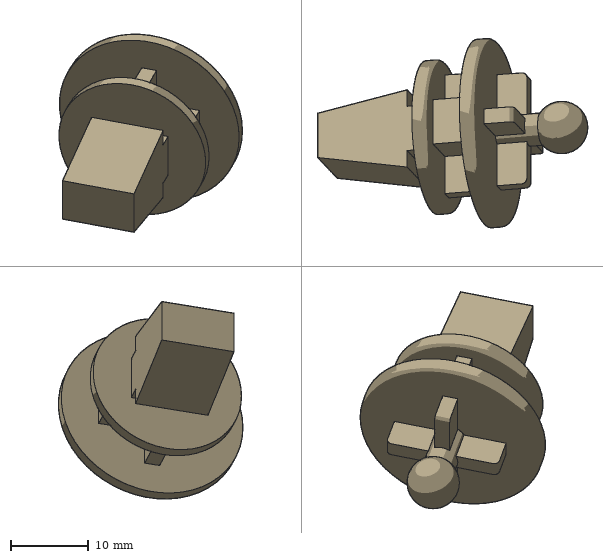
import cadquery as cq

total_length = 34.78
wedge_length = 12.0
wedge_width = 9.75
wedge_tip_height = 5.98
wedge_base_height = 10.45
neck_length = 2.0
disc_thickness = 1.98
small_disc_diameter = 20.0
large_disc_diameter = 24.5
disc_rounding = 0.7
disc_gap = 5.0
bar_left = 7.2
bar_right = 6.85
web_height = 16.0
rib_thickness = 2.0
rib_span = 15.0
rib_length = 4.0
rib_rounding = 0.7
stem_diameter = 4.2
ball_diameter = 6.78

small_disc_start = wedge_length + neck_length
small_disc_end = small_disc_start + disc_thickness
large_disc_start = small_disc_end + disc_gap
large_disc_end = large_disc_start + disc_thickness
ball_center = total_length - ball_diameter / 2


def box_along_y(width, height, start, length):
    """Box centred on the Y axis."""
    return cq.Workplane("XY").box(width, length, height).translate((0, start + length / 2, 0))


def cylinder_along_y(diameter, start, length):
    """Cylinder on the Y axis, running towards +Y."""
    return cq.Workplane("XZ", origin=(0, start, 0)).circle(diameter / 2).extrude(-length)


def disc(diameter, start):
    """Flange with its +Y rim rounded."""
    return cylinder_along_y(diameter, start, disc_thickness).faces(">Y").edges().fillet(disc_rounding)


def wedge():
    """Block that grows in height from its tip to two square shoulders."""
    return (
        cq.Workplane("YZ")
        .moveTo(0, -wedge_tip_height / 2)
        .lineTo(wedge_length, -wedge_base_height / 2)
        .lineTo(wedge_length, wedge_base_height / 2)
        .lineTo(0, wedge_tip_height / 2)
        .close()
        .extrude(wedge_width / 2, both=True)
    )


def spacer():
    """Cross between the discs: a thick, slightly off-centre bar and a thin upright web."""
    bar = box_along_y(bar_left + bar_right, wedge_tip_height, small_disc_end, disc_gap)
    bar = bar.translate(((bar_right - bar_left) / 2, 0, 0))
    return bar.union(box_along_y(rib_thickness, web_height, small_disc_end, disc_gap))


def stem_ribs():
    """Two crossed ribs around the stem, with rounded outer corners."""
    flat_rib = box_along_y(rib_span, rib_thickness, large_disc_end, rib_length)
    flat_rib = flat_rib.faces(">Y").edges("|Z").fillet(rib_rounding)
    upright_rib = flat_rib.rotate((0, 0, 0), (0, 1, 0), 90)
    return flat_rib.union(upright_rib)


neck = box_along_y(wedge_width, wedge_tip_height, wedge_length, neck_length)
stem = cylinder_along_y(stem_diameter, large_disc_end, ball_center - large_disc_end)
ball = cq.Workplane("XY").sphere(ball_diameter / 2).translate((0, ball_center, 0))

result = (
    wedge()
    .union(neck)
    .union(disc(small_disc_diameter, small_disc_start))
    .union(spacer())
    .union(disc(large_disc_diameter, large_disc_start))
    .union(stem_ribs())
    .union(stem)
    .union(ball)
)